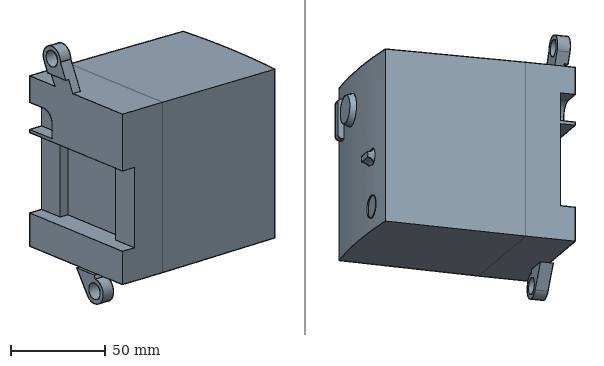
import cadquery as cq
import math

WIDTH = 76.2
HEIGHT = 96.6
BASE_DEPTH = 27.9

CROWN_Y = 108.4
CROWN_RISE = 1.9
TAPER_ANGLE = 0.35

CHANNEL_BOTTOM = 18.9
CHANNEL_HEIGHT = 45.5
CHANNEL_DEPTH = 8.3
RECESS_WIDTH = 45.5
RECESS_DEPTH = 5.3

NOTCH_BOTTOM = 66.2
NOTCH_WIDTH = 18.5
NOTCH_HEIGHT = 15.3
NOTCH_RADIUS = 7.0

LUG_RADIUS = 7.1
LUG_HOLE_DIAMETER = 9.2
LUG_THICKNESS = 7.3
LUG_STANDOFF = 2.0
LUG_X = 17.5
TOP_LUG_RISE = 16.03
TOP_LUG_LEFT_FOOT_X = -17.2
TOP_LUG_RIGHT_FOOT_X = -2.6
TOP_LUG_STEP_Z = HEIGHT + 7.0
BOTTOM_LUG_DROP = 9.14
BOTTOM_LUG_LEFT_FOOT_X = 2.85
BOTTOM_LUG_RIGHT_FOOT_X = 17.3
BOTTOM_LUG_ARC_END_OFFSET = 0.6

TIP_Y = 111.7
KNOB_X = 12.7
KNOB_Z = 76.6
KNOB_TIP_DIAMETER = 15.4
KNOB_BASE_DIAMETER = 18.0
SELECTOR_X = -18.7
SELECTOR_Z = 41.2
SELECTOR_DIAMETER = 10.4
GRIP_THICKNESS = 3.2
SCOOP_RADIUS = 4.0
SLIDER_X = 28.5
SLIDER_WIDTH = 4.5
SLIDER_BOTTOM = 64.7
SLIDER_LENGTH = 22.0
SLIDER_TIP_Y = 111.0
SLIDER_RADIUS = 2.2
DIMPLE_Z = 13.9
DIMPLE_DIAMETER = 12.4
DIMPLE_DEPTH = 0.5

ROOT_Y = CROWN_Y - 2 * CROWN_RISE


def crown_y(x):
    """Y of the crowned face at a given X."""
    half = WIDTH / 2
    radius = (half**2 + CROWN_RISE**2) / (2 * CROWN_RISE)
    return CROWN_Y - radius + math.sqrt(radius**2 - x**2)


def box(x, y, z, width, depth, height):
    """Box given by its minimum corner and its sizes along X, Y and Z."""
    return cq.Workplane("XY").box(width, depth, height, centered=False).translate((x, y, z))


def facing_front(y, x=0, z=0):
    """Plane at a given Y whose normal is +Y, with local Y along +Z."""
    return cq.Workplane(cq.Plane(origin=(x, y, z), xDir=(-1, 0, 0), normal=(0, 1, 0)))


def make_base():
    base = box(-WIDTH / 2, 0, 0, WIDTH, BASE_DEPTH, HEIGHT)
    channel = box(-WIDTH / 2, 0, CHANNEL_BOTTOM, WIDTH, CHANNEL_DEPTH, CHANNEL_HEIGHT)
    recess = box(
        -RECESS_WIDTH / 2, CHANNEL_DEPTH, CHANNEL_BOTTOM, RECESS_WIDTH, RECESS_DEPTH, CHANNEL_HEIGHT
    )
    notch = box(-WIDTH / 2, 0, NOTCH_BOTTOM, NOTCH_WIDTH, CHANNEL_DEPTH, NOTCH_HEIGHT)
    notch = notch.edges("|Y and >X and >Z").fillet(NOTCH_RADIUS)
    return base.cut(channel).cut(recess).cut(notch)


def make_housing():
    block = (
        facing_front(BASE_DEPTH, z=HEIGHT / 2)
        .rect(WIDTH, HEIGHT)
        .extrude(CROWN_Y - BASE_DEPTH, taper=TAPER_ANGLE)
    )
    half = WIDTH / 2
    side_y = CROWN_Y - CROWN_RISE
    crown = (
        cq.Workplane("XY")
        .moveTo(-half, BASE_DEPTH)
        .lineTo(half, BASE_DEPTH)
        .lineTo(half, side_y)
        .threePointArc((0, CROWN_Y), (-half, side_y))
        .close()
        .extrude(HEIGHT)
    )
    return block.intersect(crown)


def tangent_point(foot, centre, radius):
    """Left-hand point where a line from the foot touches the circle."""
    dx = foot[0] - centre[0]
    dz = foot[1] - centre[1]
    half_angle = math.acos(radius / math.hypot(dx, dz))
    direction = math.atan2(dz, dx)
    angles = (direction + half_angle, direction - half_angle)
    points = [
        (centre[0] + radius * math.cos(a), centre[1] + radius * math.sin(a)) for a in angles
    ]
    return min(points)


def make_lug(centre, left_foot, right_foot, arc_end, arc_middle):
    """Eye with a web down to the base: tangent on its left, running to arc_end on its right."""
    plane = cq.Workplane(cq.Plane(origin=(0, -LUG_STANDOFF, 0), xDir=(1, 0, 0), normal=(0, -1, 0)))
    web = (
        plane.moveTo(*left_foot)
        .lineTo(*tangent_point(left_foot, centre, LUG_RADIUS))
        .threePointArc(arc_middle, arc_end)
        .lineTo(*right_foot)
        .close()
        .extrude(-LUG_THICKNESS)
    )
    hole = plane.center(*centre).circle(LUG_HOLE_DIAMETER / 2).extrude(-LUG_THICKNESS)
    return web.cut(hole)


def make_top_lug():
    centre = (-LUG_X, HEIGHT + TOP_LUG_RISE)
    lug = make_lug(
        centre,
        left_foot=(TOP_LUG_LEFT_FOOT_X, HEIGHT),
        right_foot=(TOP_LUG_RIGHT_FOOT_X, HEIGHT),
        arc_end=(centre[0] + LUG_RADIUS, centre[1]),
        arc_middle=(centre[0], centre[1] + LUG_RADIUS),
    )
    flush_cut = box(-WIDTH / 2, -LUG_STANDOFF, HEIGHT, WIDTH, LUG_STANDOFF, TOP_LUG_STEP_Z - HEIGHT)
    return lug.cut(flush_cut)


def make_bottom_lug():
    centre = (LUG_X, -BOTTOM_LUG_DROP)
    arc_end_rise = math.sqrt(LUG_RADIUS**2 - BOTTOM_LUG_ARC_END_OFFSET**2)
    return make_lug(
        centre,
        left_foot=(BOTTOM_LUG_LEFT_FOOT_X, 0),
        right_foot=(BOTTOM_LUG_RIGHT_FOOT_X, 0),
        arc_end=(LUG_X + BOTTOM_LUG_ARC_END_OFFSET, centre[1] + arc_end_rise),
        arc_middle=(LUG_X + LUG_RADIUS, centre[1]),
    )


def make_knob():
    surface_y = crown_y(KNOB_X)
    slope = (KNOB_BASE_DIAMETER - KNOB_TIP_DIAMETER) / (TIP_Y - surface_y)
    root_diameter = KNOB_TIP_DIAMETER + slope * (TIP_Y - ROOT_Y)
    return (
        facing_front(ROOT_Y, KNOB_X, KNOB_Z)
        .circle(root_diameter / 2)
        .workplane(offset=TIP_Y - ROOT_Y)
        .circle(KNOB_TIP_DIAMETER / 2)
        .loft()
    )


def make_selector():
    """Round selector whose two sides are scooped away to leave a grip bar along X."""
    radius = SELECTOR_DIAMETER / 2
    disc = facing_front(ROOT_Y, SELECTOR_X, SELECTOR_Z).circle(radius).extrude(TIP_Y - ROOT_Y)
    scoop_offset = GRIP_THICKNESS / 2 + SCOOP_RADIUS
    scoops = (
        cq.Workplane("YZ", origin=(SELECTOR_X, TIP_Y, SELECTOR_Z))
        .pushPoints([(0, scoop_offset), (0, -scoop_offset)])
        .circle(SCOOP_RADIUS)
        .extrude(radius, both=True)
    )
    return disc.cut(scoops)


def make_slider():
    slider = box(
        SLIDER_X - SLIDER_WIDTH / 2,
        ROOT_Y,
        SLIDER_BOTTOM,
        SLIDER_WIDTH,
        SLIDER_TIP_Y - ROOT_Y,
        SLIDER_LENGTH,
    )
    return slider.edges("|X and >Y").fillet(SLIDER_RADIUS)


def make_dimple():
    """Shallow round recess in line with the selector."""
    floor_y = crown_y(SELECTOR_X) - DIMPLE_DEPTH
    return (
        facing_front(floor_y, SELECTOR_X, DIMPLE_Z)
        .circle(DIMPLE_DIAMETER / 2)
        .extrude(CROWN_Y - floor_y)
    )


result = make_base().union(make_housing()).cut(make_dimple())
for feature in (make_top_lug(), make_bottom_lug(), make_knob(), make_selector(), make_slider()):
    result = result.union(feature)